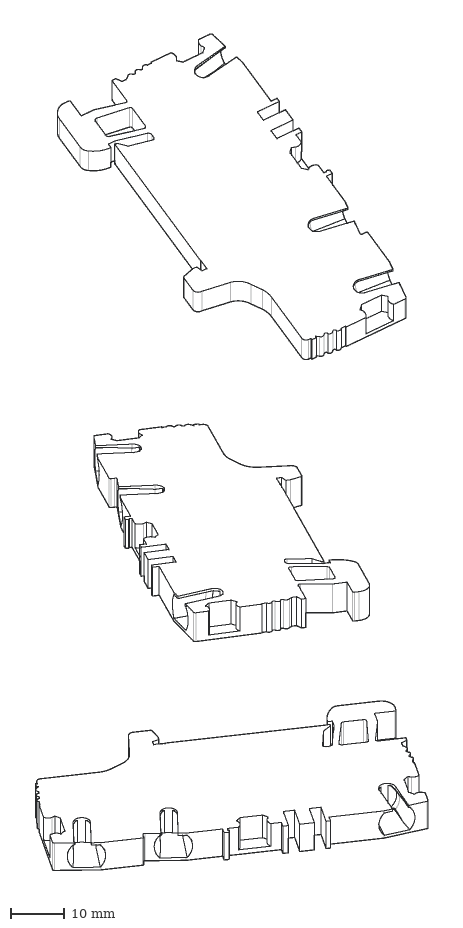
import cadquery as cq
import math

WIDTH = 72.15
HEIGHT = 37.7
THICKNESS = 6.2

TOP_Y = 36.4
SHOULDER_Y = 34.8
LEDGE_Y = 13.05
RAIL_Y = 5.9
HOOK_BOTTOM_Y = 1.15

SHOULDER_RUN = 8.95
SHOULDER_FILLET = 0.35
TOOTH_SPANS = ((19.4, 20.3), (22.5, 25.3), (27.5, 28.6))
TOOTH_GAP_FLOOR_Y = 32.8
PEG_LEFT_X = 38.9
PEG_RIGHT_X = 39.8
PEG_BARB = 0.2
PEG_BARB_BOTTOM_Y = 36.9
DIP_START_X = 46.8
DIP_END = (54.5, 35.0)
DIP_STEP_X = 54.9
DIP_ROUND_MIDDLE = (54.8, 35.0)
DIP_ROUND_END_Y = 35.35
DIP_CREST_RADIUS = 0.3

SIDE_INSET = 0.1
GRIP_TOP_Y = 21.6
RIB_COUNT = 3
RIB_START_Y = 20.65
RIB_HEIGHT = 1.1
RIB_PITCH = 1.7
RIB_LEAN = 0.2
RIB_EDGE_INSET = 0.3
TROUGH_INSET = 0.65
GRIP_END_INSET = 1.15

TAB_BOTTOM_Y = 14.5
TAB_TOP_Y = 15.5
TAB_DEPTH = 0.35
RIGHT_CORNER_RADIUS = 0.95

LEFT_NOTCH_TOP_Y = 14.6
LEFT_NOTCH_BOTTOM_Y = 13.9

FOOT_TOP_Y = 3.9
FOOT_TIP_RADIUS = 0.3
FOOT_HEEL_RADIUS = 2.7
FOOT_NECK_X = 4.2
FOOT_NECK_TOP_Y = 6.7
FOOT_TOE = (13.4, 4.9)
SPRING_LEG_X = 12.5
SPRING_LEG_KNEE_Y = 6.35
RAIL_START_X = 13.1
RAIL_STEP_X = 44.75
RAIL_STEP = 0.1

WINDOW_CORNERS = ((7.2, LEDGE_Y), (12.9, LEDGE_Y), (10.9, 5.55), (6.05, 5.55))
WINDOW_FILLET = 0.5

WIRE_SLOTS = ((6.8, 1), (48.7, -1), (65.4, -1))
SLOT_TILT = 10.0
SLOT_WIDTH = 3.25
SLOT_END_Y = 29.0
SLOT_FLOOR_Z = 0.65
SLOT_ROOF_Z = 5.7
FUNNEL_MOUTH_RADIUS = 3.6
FUNNEL_END_RADIUS = 3.2
FUNNEL_LENGTH = 6.85
FUNNEL_OVERRUN = 2.9
FUNNEL_BACK = 1.45
FUNNEL_OFFSET = 0.7

POCKET_FLOOR_Z = 1.1
POCKET_HALF_MOUTH = 3.1
POCKET_HALF_NECK = 2.7
POCKET_NECK_START = 0.7
POCKET_NECK_END = 1.6
POCKET_WIDE_DEPTH = 2.25
POCKET_HALF_WIDE = 3.0
POCKET_DEPTH = 3.1
POCKET_HALF_END = 2.2
SIDE_POCKET_Y = 28.95
TOP_POCKET_X = 33.7

OVERCUT = 0.7
CUT_LENGTH = 21.65
CUT_HEIGHT = THICKNESS + OVERCUT

ARC_SHARE = 1 - math.sqrt(0.5)


def draw_top_edge(path):
    """From the left shoulder to the right shoulder."""
    path = path.lineTo(SHOULDER_RUN, TOP_Y).lineTo(TOOTH_SPANS[0][0], TOP_Y)
    for (left, right), (next_left, _) in zip(TOOTH_SPANS, TOOTH_SPANS[1:]):
        path = path.lineTo(left, HEIGHT).lineTo(right, HEIGHT).lineTo(right, TOOTH_GAP_FLOOR_Y)
        path = path.lineTo(next_left, TOOTH_GAP_FLOOR_Y)
    last_left, last_right = TOOTH_SPANS[-1]
    path = path.lineTo(last_left, HEIGHT).lineTo(last_right, HEIGHT).lineTo(last_right, TOP_Y)
    path = path.lineTo(PEG_LEFT_X, TOP_Y).lineTo(PEG_LEFT_X, PEG_BARB_BOTTOM_Y)
    path = path.lineTo(PEG_LEFT_X - PEG_BARB, PEG_BARB_BOTTOM_Y + PEG_BARB).lineTo(PEG_LEFT_X, HEIGHT)
    path = path.lineTo(PEG_RIGHT_X, HEIGHT).lineTo(PEG_RIGHT_X, TOP_Y)
    path = path.lineTo(DIP_START_X, TOP_Y).lineTo(*DIP_END)
    path = path.threePointArc(DIP_ROUND_MIDDLE, (DIP_STEP_X, DIP_ROUND_END_Y))
    crest = DIP_CREST_RADIUS
    path = path.lineTo(DIP_STEP_X, TOP_Y - crest)
    path = path.threePointArc(
        (DIP_STEP_X + crest * ARC_SHARE, TOP_Y - crest * ARC_SHARE), (DIP_STEP_X + crest, TOP_Y)
    )
    return path.lineTo(WIDTH - SHOULDER_RUN, TOP_Y).lineTo(WIDTH - SIDE_INSET, SHOULDER_Y)


def grip_arcs():
    """Start, middle and end of each rib and of the trough below it, as (inset, Y), downwards."""
    arcs = []
    for i in range(RIB_COUNT):
        lean = i * RIB_LEAN
        start_y = RIB_START_Y - i * RIB_PITCH
        end_y = start_y - RIB_HEIGHT
        start = (lean + RIB_EDGE_INSET, start_y)
        end = (lean + RIB_EDGE_INSET, end_y)
        arcs.append((start, (lean, (start_y + end_y) / 2), end))
        next_y = start_y - RIB_PITCH
        if i < RIB_COUNT - 1:
            trough_end = (lean + RIB_LEAN + RIB_EDGE_INSET, next_y)
            arcs.append((end, (lean + TROUGH_INSET, (end_y + next_y) / 2), trough_end))
    return arcs


def draw_right_end(path):
    """Down the right side, through the grip and the tab, to the ledge."""
    path = path.lineTo(WIDTH - SIDE_INSET, GRIP_TOP_Y).lineTo(WIDTH - RIB_EDGE_INSET, GRIP_TOP_Y)
    path = path.lineTo(WIDTH - RIB_EDGE_INSET, RIB_START_Y)
    for _, (mid_inset, mid_y), (end_inset, end_y) in grip_arcs():
        path = path.threePointArc((WIDTH - mid_inset, mid_y), (WIDTH - end_inset, end_y))
    wall_x = WIDTH - GRIP_END_INSET
    path = path.lineTo(wall_x, TAB_TOP_Y)
    path = path.lineTo(wall_x + TAB_DEPTH, TAB_TOP_Y).lineTo(wall_x + TAB_DEPTH, TAB_BOTTOM_Y)
    path = path.lineTo(wall_x, TAB_BOTTOM_Y)
    radius = RIGHT_CORNER_RADIUS
    path = path.lineTo(wall_x, LEDGE_Y + radius)
    return path.threePointArc(
        (wall_x - radius * ARC_SHARE, LEDGE_Y + radius * ARC_SHARE), (wall_x - radius, LEDGE_Y)
    )


def draw_right_hook(path):
    """The curved web and the fixed hook that grips the rail's right flange."""
    path = path.lineTo(58.95, LEDGE_Y).threePointArc((57.7, 12.9), (56.6, 12.5))
    path = path.lineTo(54.4, 11.25).threePointArc((52.8, 9.95), (52.0, 8.15))
    path = path.lineTo(51.1, 2.5).threePointArc((50.7, 1.5), (50.1, HOOK_BOTTOM_Y))
    path = path.lineTo(46.75, HOOK_BOTTOM_Y).threePointArc((46.5, 1.2), (46.3, 1.45))
    path = path.lineTo(45.7, 3.6).lineTo(45.7, 4.55).lineTo(47.0, 5.0).lineTo(47.0, RAIL_Y + RAIL_STEP)
    path = path.lineTo(RAIL_STEP_X + RAIL_STEP, RAIL_Y + RAIL_STEP).lineTo(RAIL_STEP_X, RAIL_Y)
    return path.lineTo(RAIL_START_X, RAIL_Y)


def draw_foot(path):
    """The gap beside the spring leg, the sprung foot and the ledge at the left."""
    path = path.lineTo(RAIL_START_X, SPRING_LEG_KNEE_Y).lineTo(14.8, 7.9).lineTo(15.9, 12.4)
    path = path.threePointArc((15.8, 12.85), (15.4, LEDGE_Y)).lineTo(14.8, LEDGE_Y)
    path = path.threePointArc((14.35, 12.9), (14.1, 12.55)).lineTo(SPRING_LEG_X, SPRING_LEG_KNEE_Y)
    path = path.lineTo(SPRING_LEG_X, FOOT_TOE[1]).lineTo(*FOOT_TOE)
    path = path.threePointArc((13.05, 2.8), (12.0, 0.9)).threePointArc((11.25, 0.2), (10.25, 0))
    heel = FOOT_HEEL_RADIUS
    path = path.lineTo(heel, 0).threePointArc((heel * ARC_SHARE, heel * ARC_SHARE), (0, heel))
    tip = FOOT_TIP_RADIUS
    path = path.lineTo(0, FOOT_TOP_Y - tip)
    path = path.threePointArc((tip * ARC_SHARE, FOOT_TOP_Y - tip * ARC_SHARE), (tip, FOOT_TOP_Y))
    path = path.lineTo(FOOT_NECK_X, FOOT_TOP_Y).lineTo(FOOT_NECK_X, FOOT_NECK_TOP_Y)
    path = path.lineTo(5.8, 12.55).threePointArc((5.7, 12.9), (5.35, LEDGE_Y))
    return path.lineTo(0, LEDGE_Y)


def draw_left_end(path):
    """Up the left side, through the notch and the grip."""
    path = path.lineTo(0, LEFT_NOTCH_BOTTOM_Y).lineTo(GRIP_END_INSET, LEFT_NOTCH_TOP_Y)
    path = path.lineTo(GRIP_END_INSET, TAB_TOP_Y)
    arcs = grip_arcs()
    path = path.lineTo(*arcs[-1][2])
    for start, middle, _ in reversed(arcs):
        path = path.threePointArc(middle, start)
    return path.lineTo(RIB_EDGE_INSET, GRIP_TOP_Y).lineTo(SIDE_INSET, GRIP_TOP_Y)


def housing_plate():
    path = cq.Workplane("XY").moveTo(SIDE_INSET, SHOULDER_Y)
    for draw_stretch in (draw_top_edge, draw_right_end, draw_right_hook, draw_foot, draw_left_end):
        path = draw_stretch(path)
    plate = path.close().extrude(THICKNESS)
    for corner_x in (SIDE_INSET, WIDTH - SIDE_INSET):
        corner = cq.selectors.NearestToPointSelector((corner_x, SHOULDER_Y, THICKNESS / 2))
        plate = plate.edges("|Z").edges(corner).fillet(SHOULDER_FILLET)
    return plate


def leg_window():
    window = cq.Workplane("XY").polyline(WINDOW_CORNERS).close().extrude(THICKNESS)
    return window.edges("|Z").fillet(WINDOW_FILLET)


def wire_slot(end_x, lean):
    """A round-ended slot open through the top face, widened below its lips by a flattened funnel."""
    floor = cq.Workplane("XY").workplane(offset=SLOT_FLOOR_Z)
    slot = floor.center(0, CUT_LENGTH / 2).rect(SLOT_WIDTH, CUT_LENGTH).extrude(CUT_HEIGHT)
    slot = slot.union(floor.circle(SLOT_WIDTH / 2).extrude(CUT_HEIGHT))

    growth = (FUNNEL_MOUTH_RADIUS - FUNNEL_END_RADIUS) / FUNNEL_LENGTH
    outer_length = FUNNEL_LENGTH + FUNNEL_OVERRUN
    outer_radius = FUNNEL_END_RADIUS + growth * outer_length
    half_profile = [
        (0, -FUNNEL_BACK),
        (FUNNEL_END_RADIUS, -FUNNEL_BACK),
        (FUNNEL_END_RADIUS, 0),
        (outer_radius, outer_length),
        (0, outer_length),
    ]
    funnel = cq.Workplane("XY").polyline(half_profile).close().revolve(360, (0, 0, 0), (0, 1, 0))
    funnel = funnel.translate((lean * FUNNEL_OFFSET, 0, (SLOT_FLOOR_Z + SLOT_ROOF_Z) / 2))
    layer = floor.rect(2 * CUT_LENGTH, 2 * CUT_LENGTH).extrude(SLOT_ROOF_Z - SLOT_FLOOR_Z)
    cutter = slot.union(funnel.intersect(layer))
    return cutter.rotate((0, 0, 0), (0, 0, 1), lean * SLOT_TILT).translate((end_x, SLOT_END_Y, 0))


def marker_pocket(x, y, angle):
    """A necked pocket that runs inwards from its open edge at (x, y), along the given angle."""
    path = cq.Workplane("XY").workplane(offset=POCKET_FLOOR_Z).moveTo(-OVERCUT, POCKET_HALF_MOUTH)
    path = path.lineTo(0, POCKET_HALF_MOUTH)
    path = path.threePointArc((POCKET_NECK_START, POCKET_HALF_NECK), (POCKET_NECK_END, POCKET_HALF_NECK))
    path = path.lineTo(POCKET_WIDE_DEPTH, POCKET_HALF_WIDE).lineTo(POCKET_DEPTH, POCKET_HALF_END)
    path = path.lineTo(POCKET_DEPTH, -POCKET_HALF_END).lineTo(POCKET_WIDE_DEPTH, -POCKET_HALF_WIDE)
    path = path.lineTo(POCKET_NECK_END, -POCKET_HALF_NECK)
    path = path.threePointArc((POCKET_NECK_START, -POCKET_HALF_NECK), (0, -POCKET_HALF_MOUTH))
    cutter = path.lineTo(-OVERCUT, -POCKET_HALF_MOUTH).close().extrude(CUT_HEIGHT)
    return cutter.rotate((0, 0, 0), (0, 0, 1), angle).translate((x, y, 0))


def make_housing():
    body = housing_plate().cut(leg_window())
    for end_x, lean in WIRE_SLOTS:
        body = body.cut(wire_slot(end_x, lean))
    body = body.cut(marker_pocket(0, SIDE_POCKET_Y, 0))
    body = body.cut(marker_pocket(WIDTH, SIDE_POCKET_Y, 180))
    return body.cut(marker_pocket(TOP_POCKET_X, TOP_Y, -90))


housing = make_housing()
result = cq.Compound.makeCompound([housing.val()])